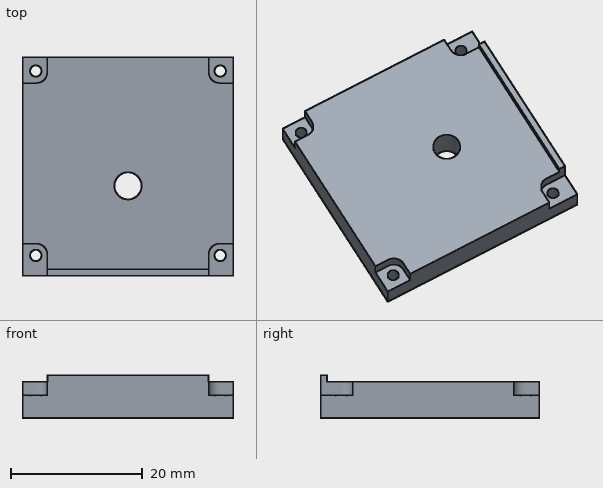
import cadquery as cq

width = 32.0
depth = 33.2
total_height = 6.5
lip_height = 1.0
lip_depth = 1.0
plate_height = total_height - lip_height

ledge_height = 3.45
ledge_width = 3.75
front_ledge_depth = 4.9
back_ledge_depth = 3.92
ledge_corner_radius = 1.65

mount_hole_diameter = 1.7
mount_hole_pitch = 28.0
mount_hole_back_margin = 2.1
center_hole_diameter = 4.1
center_hole_y = 13.68


def box(x, y, z, length, breadth, height):
    """Box with its minimum corner at (x, y, z)."""
    return cq.Workplane("XY").box(length, breadth, height, centered=False).translate((x, y, z))


def corner_cutter(at_right, at_back):
    """Volume above one ledge, rounded at the edge facing the plate's middle."""
    cutter_depth = back_ledge_depth if at_back else front_ledge_depth
    x = width - ledge_width if at_right else 0
    y = depth - cutter_depth if at_back else 0
    inner_edge = f"|Z and {'<X' if at_right else '>X'} and {'<Y' if at_back else '>Y'}"
    cutter = box(x, y, ledge_height, ledge_width, cutter_depth, total_height - ledge_height)
    return cutter.edges(inner_edge).fillet(ledge_corner_radius)


def through_hole(x, y, diameter):
    """Vertical cylinder spanning the full height."""
    return cq.Workplane("XY").center(x, y).circle(diameter / 2).extrude(total_height)


result = box(0, 0, 0, width, depth, plate_height)
result = result.union(box(0, 0, 0, width, lip_depth, total_height))

mount_hole_left = (width - mount_hole_pitch) / 2
mount_hole_back = depth - mount_hole_back_margin
for at_right in (False, True):
    for at_back in (False, True):
        hole_x = mount_hole_left + (mount_hole_pitch if at_right else 0)
        hole_y = mount_hole_back - (0 if at_back else mount_hole_pitch)
        result = result.cut(corner_cutter(at_right, at_back))
        result = result.cut(through_hole(hole_x, hole_y, mount_hole_diameter))

result = result.cut(through_hole(width / 2, center_hole_y, center_hole_diameter))